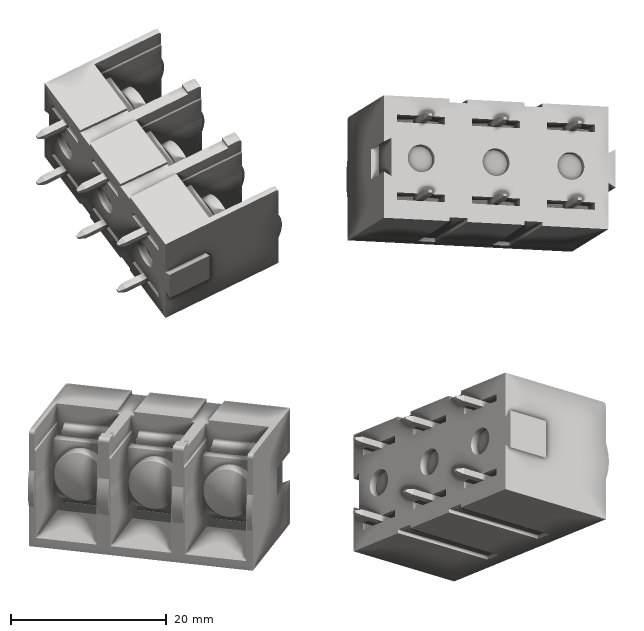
import cadquery as cq
import math


POLES = 3
TOTAL_LENGTH = 31.0
TONGUE_REACH = 1.0
LENGTH = TOTAL_LENGTH - TONGUE_REACH
PITCH = LENGTH / POLES
HEIGHT = 16.0
MID_Z = HEIGHT / 2
DEPTH = 17.0
CROWN_RISE = 0.5
CROWN_CHORD = 4.95
EDGE_RADIUS = 0.5

FLOOR_Y = 7.0
WELL_BOTTOM = 1.25
WELL_TOP_WIDTH = 8.52
WELL_MID_WIDTH = 8.25
WELL_LOW_WIDTH = 8.12
LEDGE_Z = 13.45
LEDGE_SLOPE = 0.22
TAPER_TOP_Z = 9.25
TAPER_BOTTOM_Z = 7.85

GROOVE_DEPTH = 0.5
GROOVE_MOUTH_WIDTH = 2.42
GROOVE_FLOOR_WIDTH = 2.23
POST_Y = 15.0

DOVETAIL_LENGTH = 5.98
TONGUE_ROOT = 3.85
SOCKET_DEPTH = 1.05
SOCKET_MOUTH = 3.9
DOVETAIL_WIDTH = 5.02

HOLE_MOUTH_DIAMETER = 3.6
HOLE_END_DIAMETER = 3.5
HOLE_DEPTH = 1.0

PIN_OFFSET = PITCH / 2
SHEET = 0.8
CONTACT_WIDTH = 6.63
LEG_WIDTH = 6.32
BRIDGE_THICKNESS = 0.9
BEND_RADIUS = 0.8
SLOT_WIDTH = 6.42
SLOT_HEIGHT = 0.95
SHOULDER_Y = 2.17
SHOULDER_DROP = 0.78
PIN_WIDTH = 1.0
PIN_LENGTH = 4.2
PIN_TAPER = 1.0
TIP_WIDTH = 0.43
TIP_HEIGHT = 0.3

WASHER_SIZE = 7.95
WASHER_EDGE = 1.33
WASHER_ARCH = 0.45
SHANK_DIAMETER = 3.3
HEAD_DIAMETER = 6.7
HEAD_SEAT = 0.03
RIM_RADIUS = 0.12
HEAD_HEIGHT = 1.58
DOME_RISE = 0.7

POLE_CENTERS = [PITCH * (i + 0.5) for i in range(POLES)]
BARRIER_CENTERS = [PITCH * (i + 1) for i in range(POLES - 1)]
CONTACT_TOP = FLOOR_Y + BRIDGE_THICKNESS
WASHER_TOP = CONTACT_TOP + WASHER_EDGE + WASHER_ARCH


def block(x0, x1, y0, y1, z0, z1):
    """Box given by its limits along each axis."""
    return cq.Workplane("XY").box(x1 - x0, y1 - y0, z1 - z0, centered=False).translate((x0, y0, z0))


def housing_blank():
    """Side outline with a crowned +Y face, run along the whole row."""
    half_chord = CROWN_CHORD / 2
    blank = (
        cq.Workplane("YZ")
        .lineTo(DEPTH, 0)
        .lineTo(DEPTH, MID_Z - half_chord)
        .threePointArc((DEPTH + CROWN_RISE, MID_Z), (DEPTH, MID_Z + half_chord))
        .lineTo(DEPTH, HEIGHT)
        .lineTo(0, HEIGHT)
        .close()
        .extrude(LENGTH)
    )
    top_edge = cq.selectors.NearestToPointSelector((LENGTH / 2, DEPTH, HEIGHT))
    return blank.edges(top_edge).fillet(EDGE_RADIUS)


def well(x):
    """Stepped well of one pole and the gap in the crown above it."""
    top, mid, low = WELL_TOP_WIDTH / 2, WELL_MID_WIDTH / 2, WELL_LOW_WIDTH / 2
    right_side = [
        (low, WELL_BOTTOM),
        (low, TAPER_BOTTOM_Z),
        (mid, TAPER_TOP_Z),
        (mid, LEDGE_Z - LEDGE_SLOPE),
        (top, LEDGE_Z),
        (top, HEIGHT),
    ]
    left_side = [(-half, z) for half, z in reversed(right_side)]
    cavity = (
        cq.Workplane("XZ", origin=(x, FLOOR_Y, 0))
        .polyline(right_side + left_side)
        .close()
        .extrude(-DEPTH)
    )
    flat_face = block(x - top, x + top, DEPTH, 2 * DEPTH, 0, HEIGHT)
    return cavity.union(flat_face)


def groove(x, z):
    """Groove along a barrier, flaring towards the pin face, up to its post."""
    mouth, inner = GROOVE_MOUTH_WIDTH / 2, GROOVE_FLOOR_WIDTH / 2
    return (
        cq.Workplane("XY", origin=(x, 0, z))
        .polyline([
            (-mouth, 0),
            (mouth, 0),
            (inner, FLOOR_Y),
            (inner, POST_Y),
            (-inner, POST_Y),
            (-inner, FLOOR_Y),
        ])
        .close()
        .extrude(GROOVE_DEPTH)
    )


def dovetail(x, reach, root_width):
    """Dovetail prism widening towards +X, starting at the pin face."""
    root, wide = root_width / 2, DOVETAIL_WIDTH / 2
    return (
        cq.Workplane("XZ", origin=(x, 0, MID_Z))
        .polyline([(0, -root), (reach, -wide), (reach, wide), (0, root)])
        .close()
        .extrude(-DOVETAIL_LENGTH)
    )


def screw_hole(x):
    """Slightly tapered blind hole in the pin face."""
    return (
        cq.Workplane("XZ", origin=(x, 0, MID_Z))
        .circle(HOLE_MOUTH_DIAMETER / 2)
        .workplane(offset=-HOLE_DEPTH)
        .circle(HOLE_END_DIAMETER / 2)
        .loft()
    )


def pin_slots(x):
    """Two slots that carry the contact legs through the pin face."""
    slots = cq.Workplane("XY")
    for side in (-1, 1):
        inner = PIN_OFFSET - SHEET / 2
        z_limits = sorted(MID_Z + side * reach for reach in (inner, inner + SLOT_HEIGHT))
        slots = slots.union(block(x - SLOT_WIDTH / 2, x + SLOT_WIDTH / 2, 0, FLOOR_Y, *z_limits))
    return slots


def contact(x):
    """Bent strip: a bridge on the well floor, two legs and two pointed pins."""
    half_span = PIN_OFFSET + SHEET / 2
    bridge = block(
        x - LEG_WIDTH / 2, x + LEG_WIDTH / 2,
        FLOOR_Y, CONTACT_TOP,
        MID_Z - half_span, MID_Z + half_span,
    ).edges(">Y and |X").fillet(BEND_RADIUS)
    flat = half_span - BEND_RADIUS
    strip = bridge.union(block(
        x - CONTACT_WIDTH / 2, x + CONTACT_WIDTH / 2,
        FLOOR_Y, CONTACT_TOP,
        MID_Z - flat, MID_Z + flat,
    ))
    for side in (-1, 1):
        strip = strip.union(leg(x, MID_Z + side * PIN_OFFSET))
    return strip


def leg(x, z):
    """Leg with sloping shoulders that narrows to one pin."""
    half_leg, half_pin = LEG_WIDTH / 2, PIN_WIDTH / 2
    plate = (
        cq.Workplane("XY", origin=(x, 0, z - SHEET / 2))
        .polyline([
            (-half_leg, FLOOR_Y),
            (-half_leg, SHOULDER_Y + SHOULDER_DROP),
            (-half_pin, SHOULDER_Y),
            (-half_pin, PIN_TAPER - PIN_LENGTH),
            (half_pin, PIN_TAPER - PIN_LENGTH),
            (half_pin, SHOULDER_Y),
            (half_leg, SHOULDER_Y + SHOULDER_DROP),
            (half_leg, FLOOR_Y),
        ])
        .close()
        .extrude(SHEET)
    )
    tip = (
        cq.Workplane("XZ", origin=(x, PIN_TAPER - PIN_LENGTH, z))
        .rect(PIN_WIDTH, SHEET)
        .workplane(offset=PIN_TAPER)
        .rect(TIP_WIDTH, TIP_HEIGHT)
        .loft()
    )
    return plate.union(tip)


def washer(x):
    """Square clamping washer with an arched top."""
    half = WASHER_SIZE / 2
    edge_y = CONTACT_TOP + WASHER_EDGE
    return (
        cq.Workplane("YZ", origin=(x - half, 0, MID_Z))
        .moveTo(CONTACT_TOP, -half)
        .lineTo(edge_y, -half)
        .threePointArc((WASHER_TOP, 0), (edge_y, half))
        .lineTo(CONTACT_TOP, half)
        .close()
        .extrude(WASHER_SIZE)
    )


def screw(x):
    """Domed round head on the crest of the washer, with a shank down to the well floor."""
    radius = HEAD_DIAMETER / 2
    shank_radius = SHANK_DIAMETER / 2
    rim_y = WASHER_TOP + HEAD_HEIGHT
    dome_radius = (radius**2 + DOME_RISE**2) / (2 * DOME_RISE)
    mid_radius = radius / 2
    mid_y = rim_y + DOME_RISE - dome_radius + math.sqrt(dome_radius**2 - mid_radius**2)
    seat_y = WASHER_TOP - HEAD_SEAT
    profile = (
        cq.Workplane("XY")
        .moveTo(0, FLOOR_Y)
        .lineTo(shank_radius, FLOOR_Y)
        .lineTo(shank_radius, seat_y)
        .lineTo(radius, seat_y)
        .lineTo(radius, rim_y)
        .threePointArc((mid_radius, mid_y), (0, rim_y + DOME_RISE))
        .close()
    )
    solid = profile.revolve(360, (0, 0, 0), (0, 1, 0))
    rim = cq.selectors.NearestToPointSelector((0, rim_y, 0))
    return solid.edges("%CIRCLE").edges(rim).fillet(RIM_RADIUS).translate((x, 0, MID_Z))


body = housing_blank()
body = body.union(dovetail(LENGTH, TONGUE_REACH, TONGUE_ROOT))
body = body.cut(dovetail(0, SOCKET_DEPTH, SOCKET_MOUTH))

for barrier_x in BARRIER_CENTERS:
    body = body.cut(groove(barrier_x, 0))
    body = body.cut(groove(barrier_x, HEIGHT - GROOVE_DEPTH))

for pole_x in POLE_CENTERS:
    body = body.cut(well(pole_x)).cut(screw_hole(pole_x)).cut(pin_slots(pole_x))
    body = body.union(contact(pole_x)).union(washer(pole_x)).union(screw(pole_x))

result = body